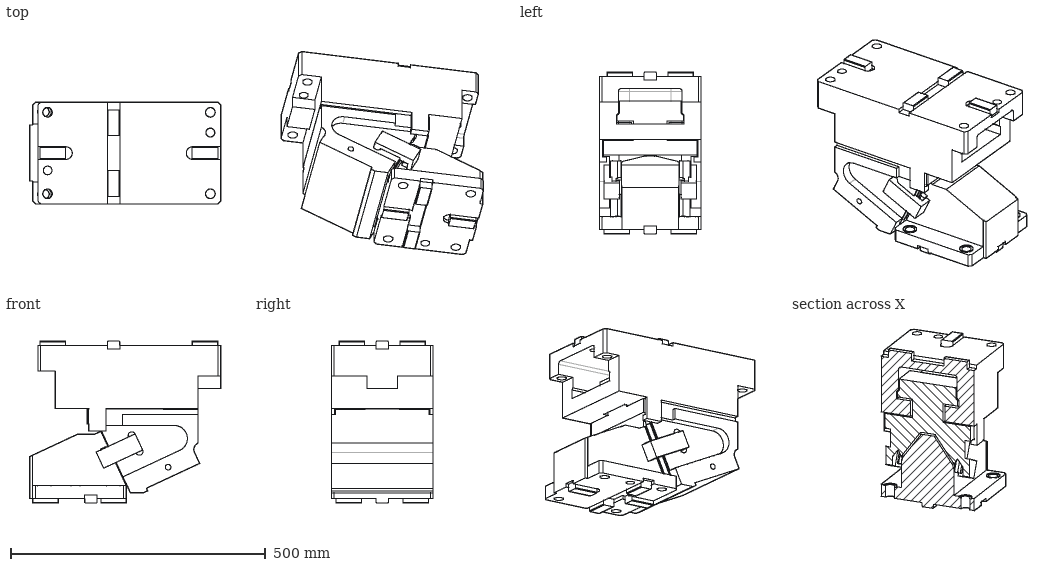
import cadquery as cq
import math

width = 200.0
half_width = width / 2
total_length = 375.0
total_height = 318.0
corner_chamfer = 5.5

key_length = 50.2
key_width = 24.8
key_rise = 8.5
key_chamfer = 1.5
slot_depth = 7.0

slide_tilt = math.radians(25)
cos_tilt = math.cos(slide_tilt)
sin_tilt = math.sin(slide_tilt)
vee_slope = math.tan(math.radians(30))
slider_slide_u = 187.5
base_slide_u = 186.0
slide_reach = 225.0

housing_top = total_height - key_rise
housing_left = 16.0
housing_step_x = 50.0
housing_step_z = 259.0
housing_right = 330.5
flange_bottom = 249.0
housing_bottom = 185.2
hook_left = 116.0
hook_right = 150.0
hook_bottom = 141.0
hook_ledge = 151.5
hook_gap_half = 93.5
hook_ledge_half = 86.2
floor_top = 216.0
cavity_top = 285.5
cavity_end = 300.0
cavity_half = 62.5
cavity_foot_half = 66.0
cavity_foot_top = 234.0
cavity_corner = 21.8
cavity_fillet = 5.5
rail_left = 105.0
rail_thickness = 2.5
rail_inner_half = 36.5
leg_slot_right = 281.2
boss_height = 24.5
boss_half = 30.0
housing_key_left = 20.2
housing_key_right = 318.8
housing_slot_left_end = 83.5
housing_slot_right_end = 307.0
housing_groove_x = 164.5
housing_cross_key_y = 59.5
housing_hole_x = (35.2, 354.5)
housing_hole_y = 80.0
housing_hole_diameter = 18.5
housing_dowels = [(35.2, -34.0), (354.5, 40.0)]
dowel_diameter = 17.0

wing_left = 113.0
wing_top = 184.0
wing_bottom = 155.2
wing_half = 92.0
shoulder_x = 182.2
shoulder_z = 174.0
slider_bottom = 20.2
underside_v = -70.5
lip_v = -76.0
lip_u = 220.0
end_u = 335.2
relief_radius = 13.5
relief_v = -46.5
pocket_top = 152.2
pocket_floor_half = 80.2
pocket_end_x = 284.0
pocket_end_radius = 25.5
vee_half = 61.5
groove_outer_y = 77.5
groove_deep_y = 63.8
groove_inner_y = 56.2
groove_inner_depth = 2.0
slideway_bottom_v = -51.5
groove_end_v = 70.5
core_right = 262.5
core_top = 260.5
core_half = 60.8
core_foot_half = 65.0
core_foot_bottom = 221.5
core_foot_top = 233.2
core_leg_half = 33.0
blind_hole_x = 271.5
blind_hole_z = 70.5
blind_hole_diameter = 11.0
blind_hole_depth = 18.8

hook_bar_u = (160.5, 245.0)
hook_bar_v = (0.8, 35.5)
hook_bar_y = (60.5, 90.5)
hook_notch_u = 169.5
hook_notch_y = 74.5
hook_relief_radius = 7.0
lug_u = (170.5, 182.2)
lug_v = (6.5, 37.0)
lug_half = 67.5
lug_chamfer = 4.0

base_bottom = key_rise
base_flange_top = 34.5
base_flange_left = 6.0
base_right = 189.8
base_half = 56.5
base_nose_half = 55.0
base_nose_z = 91.5
base_flat_left = 93.8
base_flat_right = 127.0
base_vee_half = 54.0
base_vee_step = 3.8
base_ridge_half = 8.5
base_groove_x = 120.0
base_cross_key_y = 65.5
base_hole_x = (29.0, 164.0)
base_hole_y = 80.5
base_hole_diameter = 18.5
spot_face_diameter = 26.5
spot_face_depth = 1.5
base_dowel = (90.0, -80.0)


def tilted(u, v):
    """Point of the XZ plane at the given slide coordinates."""
    return (u * cos_tilt - v * sin_tilt, u * sin_tilt + v * cos_tilt)


def on_slide(u, z):
    """Point at height z on the plane that lies u along the slide normal."""
    return ((u - z * sin_tilt) / cos_tilt, z)


def box(x_min, x_max, y_min, y_max, z_min, z_max):
    return cq.Workplane("XY").box(
        x_max - x_min, y_max - y_min, z_max - z_min, centered=False
    ).translate((x_min, y_min, z_min))


def side_plate(points, half):
    """Outline in XZ, extruded to both sides of the plane of symmetry."""
    return cq.Workplane("XZ").polyline(points).close().extrude(half, both=True)


def tilted_block(u_range, v_range, y_range):
    u_min, u_max = u_range
    v_min, v_max = v_range
    corners = [tilted(u_min, v_min), tilted(u_max, v_min), tilted(u_max, v_max), tilted(u_min, v_max)]
    block = cq.Workplane("XZ").polyline(corners).close().extrude(y_range[1] - y_range[0])
    return block.translate((0, y_range[1], 0))


def slide_prism(profile, v_min, v_max):
    """Outline of (u, y) points, extruded along the slide."""
    x_start, z_start = tilted(0, v_min)
    plane = cq.Plane(
        origin=(x_start, 0, z_start), xDir=(cos_tilt, 0, sin_tilt), normal=(-sin_tilt, 0, cos_tilt)
    )
    return cq.Workplane(plane).polyline(profile).close().extrude(v_max - v_min)


def mirrored_pair(shape):
    return shape.union(shape.mirror("XZ"))


def vertical_hole(x, y, diameter, z_min, z_max):
    return cq.Workplane("XY").circle(diameter / 2).extrude(z_max - z_min).translate((x, y, z_min))


def key(x, y, along_x, z_min, z_max, chamfer_face):
    """Key centred on (x, y) with chamfered long edges on its outer face."""
    length_axis = "X" if along_x else "Y"
    size_x = key_length if along_x else key_width
    size_y = key_width if along_x else key_length
    block = box(x - size_x / 2, x + size_x / 2, y - size_y / 2, y + size_y / 2, z_min, z_max)
    return block.faces(chamfer_face).edges("|" + length_axis).chamfer(key_chamfer)


def round_slot(open_x, end_x, z_min, z_max):
    """Key slot on the centreline, open at open_x and with a round end that reaches end_x."""
    radius = key_width / 2
    centre_x = end_x - math.copysign(radius, end_x - open_x)
    straight = box(min(open_x, centre_x), max(open_x, centre_x), -radius, radius, z_min, z_max)
    return straight.union(vertical_hole(centre_x, 0, key_width, z_min, z_max))


def foot_section(x_min, x_max, foot_half, foot_top, head_half, z_min, z_max):
    """Bar along X whose foot is wider than its head, joined by short 45 degree shoulders."""
    shoulder = foot_top + foot_half - head_half
    half_outline = [(foot_half, z_min), (foot_half, foot_top), (head_half, shoulder), (head_half, z_max)]
    outline = half_outline + [(-y, z) for y, z in reversed(half_outline)]
    bar = cq.Workplane("YZ").polyline(outline).close().extrude(x_max - x_min)
    return bar.translate((x_min, 0, 0))


def housing_cavity():
    front = housing_left - cavity_corner
    upper = box(front, cavity_end, -cavity_half, cavity_half, floor_top, cavity_top)
    upper = upper.edges("|Z and >X").fillet(cavity_corner).faces(">Z").edges().fillet(cavity_fillet)
    shoulder_top = cavity_foot_top + cavity_foot_half - cavity_half
    foot = foot_section(
        front, cavity_end - cavity_corner, cavity_foot_half, cavity_foot_top,
        cavity_half, floor_top, shoulder_top + rail_thickness,
    )
    return upper.union(foot)


def make_housing():
    outline = [
        (housing_left, housing_top), (total_length, housing_top), (total_length, flange_bottom),
        (housing_right, flange_bottom), (housing_right, housing_bottom), (hook_right, housing_bottom),
        (hook_right, hook_bottom), (hook_left, hook_bottom), (hook_left, housing_bottom),
        (housing_step_x, housing_bottom), (housing_step_x, housing_step_z), (housing_left, housing_step_z),
    ]
    body = side_plate(outline, half_width)
    body = body.edges("|Z and (<X or >X)").chamfer(corner_chamfer)

    for half, z_min, z_max in (
        (hook_gap_half, hook_ledge, housing_bottom), (hook_ledge_half, hook_bottom, hook_ledge),
    ):
        body = body.cut(box(hook_left, hook_right, -half, half, z_min, z_max))

    body = body.cut(housing_cavity())
    rail_right = cavity_end - cavity_corner
    rail_top = floor_top + rail_thickness
    rail = box(rail_left, rail_right, rail_inner_half, cavity_foot_half, floor_top, rail_top)
    body = body.union(mirrored_pair(rail))
    body = body.cut(
        box(rail_left, leg_slot_right, -rail_inner_half, rail_inner_half, housing_bottom, floor_top)
    )

    body = body.union(
        box(housing_right, total_length, -boss_half, boss_half, flange_bottom - boss_height, flange_bottom)
    )

    for x in housing_hole_x:
        for y in (-housing_hole_y, housing_hole_y):
            body = body.cut(vertical_hole(x, y, housing_hole_diameter, flange_bottom, housing_top))
    for x, y in housing_dowels:
        body = body.cut(vertical_hole(x, y, dowel_diameter, flange_bottom, housing_top))

    slot_floor = housing_top - slot_depth
    groove_half = key_width / 2
    body = body.cut(round_slot(housing_left, housing_slot_left_end, slot_floor, housing_top))
    body = body.cut(round_slot(total_length, housing_slot_right_end, slot_floor, housing_top))
    body = body.cut(box(
        housing_groove_x - groove_half, housing_groove_x + groove_half,
        -half_width, half_width, slot_floor, housing_top,
    ))
    for x_min in (housing_key_left, housing_key_right):
        body = body.union(key(x_min + key_length / 2, 0, True, slot_floor, total_height, ">Z"))
    for y in (-housing_cross_key_y, housing_cross_key_y):
        body = body.union(key(housing_groove_x, y, False, slot_floor, total_height, ">Z"))
    return body


def slider_body():
    """Full-width block with tilted slide, stepped underside and round relief at its end."""
    relief_x, relief_z = tilted(end_u + relief_radius, relief_v)
    relief_top_z = relief_z + math.sqrt(relief_radius**2 - (relief_x - housing_right) ** 2)
    lip_start_u = (slider_bottom - lip_v * cos_tilt) / sin_tilt
    flat_end_x = tilted(lip_start_u, lip_v)[0]
    outline = (
        cq.Workplane("XZ")
        .moveTo(*on_slide(slider_slide_u, pocket_top))
        .lineTo(shoulder_x, pocket_top)
        .lineTo(shoulder_x, shoulder_z)
        .lineTo(housing_right, shoulder_z)
        .lineTo(housing_right, relief_top_z)
        .threePointArc((relief_x - relief_radius, relief_z), tilted(end_u, relief_v))
        .lineTo(*tilted(end_u, underside_v))
        .lineTo(*tilted(lip_u, underside_v))
        .lineTo(*tilted(lip_u, lip_v))
        .lineTo(flat_end_x, slider_bottom)
        .lineTo(*on_slide(slider_slide_u, slider_bottom))
        .close()
    )
    return outline.extrude(half_width, both=True)


def slider_wing():
    """Plate that rides on the housing hooks."""
    return side_plate([
        (wing_left, wing_top), (housing_right, wing_top), (housing_right, pocket_top),
        on_slide(slider_slide_u, pocket_top), on_slide(slider_slide_u, wing_bottom), (wing_left, wing_bottom),
    ], wing_half)


def slider_pocket():
    """Flank pocket with a level top, a round end and a lower side that follows the tilt."""
    centre_z = pocket_top - pocket_end_radius
    lower_end = (pocket_end_x + pocket_end_radius * sin_tilt, centre_z - pocket_end_radius * cos_tilt)
    lower_v = lower_end[1] * cos_tilt - lower_end[0] * sin_tilt
    start_u = slider_slide_u - pocket_end_radius
    outline = (
        cq.Workplane("XZ")
        .moveTo(*on_slide(start_u, pocket_top))
        .lineTo(pocket_end_x, pocket_top)
        .threePointArc((pocket_end_x + pocket_end_radius, centre_z), lower_end)
        .lineTo(*tilted(start_u, lower_v))
        .close()
    )
    depth = half_width - pocket_floor_half
    return mirrored_pair(outline.extrude(depth).translate((0, half_width, 0)))


def slider_slideway():
    """Vee that straddles the base, with a guide groove on each side of it."""
    vee_depth = vee_half * vee_slope
    vee = slide_prism(
        [(slider_slide_u, vee_half), (slider_slide_u + vee_depth, 0), (slider_slide_u, -vee_half)],
        slideway_bottom_v, slide_reach,
    )
    below_wing = box(0, total_length, -half_width, half_width, 0, wing_bottom)
    groove_depth = (groove_outer_y - groove_deep_y) * vee_slope
    groove = slide_prism([
        (slider_slide_u, groove_outer_y), (slider_slide_u + groove_depth, groove_deep_y),
        (slider_slide_u + groove_inner_depth, groove_inner_y), (slider_slide_u, groove_inner_y),
    ], slideway_bottom_v, groove_end_v)
    return vee.intersect(below_wing).union(mirrored_pair(groove))


def slider_core():
    """Guide core in the housing cavity, on a leg that rises from the wing plate."""
    core = foot_section(
        wing_left, core_right, core_foot_half, core_foot_top, core_half, core_foot_bottom, core_top
    )
    leg = box(wing_left, core_right, -core_leg_half, core_leg_half, wing_bottom, core_foot_bottom)
    return core.union(leg)


def return_hook():
    """Bar on the +Y flank, notched on its inner side where it passes the base lug."""
    bar = tilted_block(hook_bar_u, hook_bar_v, hook_bar_y)
    notch_end = slider_slide_u + (groove_outer_y - groove_deep_y) * vee_slope
    notch = tilted_block((hook_notch_u, notch_end), hook_bar_v, (hook_bar_y[0], hook_notch_y))
    return bar.cut(notch)


def hook_reliefs():
    """Round corner reliefs beside the inner end of each hook bar."""
    reliefs = cq.Workplane("XZ").pushPoints(
        [tilted(hook_bar_u[1] - hook_relief_radius, v) for v in hook_bar_v]
    ).circle(hook_relief_radius).extrude(pocket_floor_half - hook_bar_y[0])
    return mirrored_pair(reliefs.translate((0, pocket_floor_half, 0)))


def blind_holes():
    """Blind hole in each flank, drilled with a 45 degree conical tip."""
    radius = blind_hole_diameter / 2
    drill = (
        cq.Workplane("XY")
        .polyline([
            (0, half_width), (radius, half_width), (radius, half_width - blind_hole_depth),
            (0, half_width - blind_hole_depth - radius),
        ])
        .close()
        .revolve(360, (0, 0, 0), (0, 1, 0))
    )
    return mirrored_pair(drill.translate((blind_hole_x, 0, blind_hole_z)))


def make_slider():
    body = slider_body().union(slider_wing())
    body = body.cut(slider_pocket()).cut(slider_slideway()).cut(hook_reliefs()).cut(blind_holes())
    return body.union(mirrored_pair(return_hook())).union(slider_core())


def base_block():
    """Central block with sloped top, narrower nose and vee-shaped slide face."""
    flat_z = base_nose_z + base_flat_left * math.tan(slide_tilt)
    ramp_v = flat_z * cos_tilt - base_flat_right * sin_tilt
    ramp_end = tilted(slide_reach, ramp_v)
    block = side_plate([
        (0, base_bottom), (0, base_nose_z), (base_flat_left, flat_z), (base_flat_right, flat_z),
        ramp_end, (base_right, ramp_end[1]), (base_right, base_bottom),
    ], base_half)
    nose_relief = box(0, base_flange_left, base_nose_half, base_half, base_bottom, flat_z)
    block = block.cut(mirrored_pair(nose_relief))

    vee_u = base_slide_u + base_vee_step
    ridge_u = vee_u + (base_vee_half - base_ridge_half) * vee_slope
    half_profile = [
        (-slide_reach, base_half), (base_slide_u, base_half),
        (vee_u, base_vee_half), (ridge_u, base_ridge_half),
    ]
    profile = half_profile + [(u, -y) for u, y in reversed(half_profile)]
    return block.intersect(slide_prism(profile, -slide_reach, slide_reach))


def base_flange():
    flange = box(base_flange_left, base_right, -half_width, half_width, base_bottom, base_flange_top)
    flange = flange.edges("|Z").chamfer(corner_chamfer)
    spot_floor = base_flange_top - spot_face_depth
    for x in base_hole_x:
        for y in (-base_hole_y, base_hole_y):
            flange = flange.cut(vertical_hole(x, y, base_hole_diameter, base_bottom, base_flange_top))
            flange = flange.cut(vertical_hole(x, y, spot_face_diameter, spot_floor, base_flange_top))
    return flange.cut(vertical_hole(*base_dowel, dowel_diameter, base_bottom, base_flange_top))


def make_base():
    body = base_block().union(base_flange())
    lug_front, lug_back = lug_u
    lug = slide_prism([
        (lug_front, base_nose_half), (lug_front, lug_half), (lug_back - lug_chamfer, lug_half),
        (lug_back, lug_half - lug_chamfer), (lug_back, base_nose_half),
    ], *lug_v)
    body = body.union(mirrored_pair(lug))

    slot_roof = base_bottom + slot_depth
    groove_half = key_width / 2
    key_margin = key_width / 2
    left_key_end = base_flange_left + key_length
    right_key_start = base_right - key_length
    body = body.cut(round_slot(0, left_key_end + key_margin, base_bottom, slot_roof))
    body = body.cut(round_slot(base_right, right_key_start - key_margin, base_bottom, slot_roof))
    body = body.cut(box(
        base_groove_x - groove_half, base_groove_x + groove_half,
        -half_width, half_width, base_bottom, slot_roof,
    ))
    for x_min in (base_flange_left, right_key_start):
        body = body.union(key(x_min + key_length / 2, 0, True, 0, slot_roof, "<Z"))
    for y in (-base_cross_key_y, base_cross_key_y):
        body = body.union(key(base_groove_x, y, False, 0, slot_roof, "<Z"))
    return body


housing = make_housing()
slider = make_slider()
base = make_base()

result = cq.Compound.makeCompound([housing.solids().val(), slider.solids().val(), base.solids().val()])